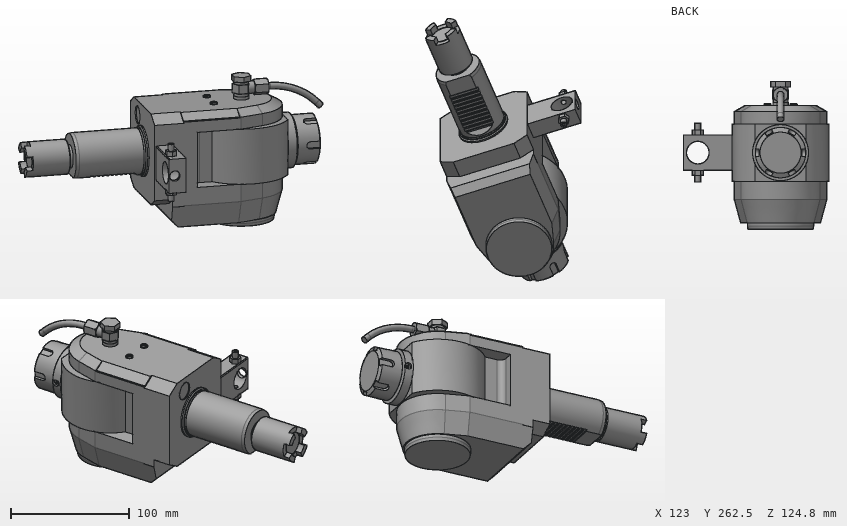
import cadquery as cq
import math


BODY_HALF_WIDTH = 39.0
BODY_TOP = 40.0
BODY_BOTTOM = -59.3
HEAD_Y = 86.5
NOSE_RADIUS = 34.7
NOSE_FLANK_ANGLE = 16.0
CROWN_HEIGHT = 5.3
CROWN_TAPER = 60.0
SKIRT_TOP = -39.5
SKIRT_TAPER = 15.0
SKIRT_BACK = 15.8
SKIRT_CHAMFER = 6.3
BEVEL_WIDTH = 11.8
BEVEL_LENGTH = 25.5
BEVEL_ANGLE = 30.0
RECESS_END = 74.5
RECESS_WIDTH = 9.7
LEDGE_WIDTH = 0.8
PLUG_X, PLUG_Z = -15.8, 27.3
PLUG_RADIUS = 7.5
PLUG_DEPTH = 1.0

DRUM_RADIUS = 41.0
DRUM_HALF_HEIGHT = 24.2
DRUM_FACE = 121.3
POCKET_BACK = 37.3
POCKET_WALL_X = 25.2
POCKET_FILLET = 5.5

COVER_RADIUS = 28.0
COVER_HEIGHT = 5.5
COVER_CHAMFER = 0.5

COLLAR_RADIUS = 21.8
COLLAR_LENGTH = 2.4
COLLAR_CHAMFER = 1.0
RELIEF_RADIUS = 19.7
RELIEF_END = 4.0
SHANK_RADIUS = 20.0
SHANK_LENGTH = 63.3
SHANK_TIP_RADIUS = 19.5
SHANK_TIP_LENGTH = 3.0
RACK_FLAT_Z = -16.3
RACK_START = 9.2
RACK_PITCH = 4.0
RACK_GROOVES = 10
RACK_GROOVE_WIDTH = 2.5
RACK_GROOVE_DEPTH = 1.0

NECK_RADIUS = 10.0
COUPLING_START = 66.7
COUPLING_RADIUS = 15.0
COUPLING_END = 99.5
COUPLING_CHAMFER = 0.8
CLAWS = 4
CLAW_END = 104.7
CLAW_GAP_HALF_ANGLE = 24.0
COUPLING_RECESS = 0.5

RING_RADIUS = 23.5
RING_END = 129.0
RING_SCREW_Y = 125.7
RING_SCREW_RADIUS = 3.0
RING_SCREW_DEPTH = 2.4
RING_SOCKET_RADIUS = 1.3
RING_SOCKET_DEPTH = 3.7
SPINDLE_NECK_RADIUS = 18.0
NUT_START = 130.5
NUT_END = 151.0
NUT_RADIUS = 21.3
NUT_FACE_RADIUS = 17.3
NUT_BEVEL_LENGTH = 1.5
NUT_SLOTS = 6
NUT_SLOT_WIDTH = 6.3
NUT_SLOT_END = 138.0
NUT_SLOT_DEPTH = 3.2

ARM_END = 82.0
ARM_HALF_HEIGHT = 15.0
ARM_FRONT, ARM_BACK = 1.0, 15.8
ARM_CHAMFER = 0.8
ARM_BORE_X = 69.8
ARM_BORE_RADIUS = 9.5
STUD_Y = 6.0
STUD_RADIUS = 2.5
STUD_END = 25.0
STUD_HOLE_RADIUS = 2.0
STUD_NUT_DIAMETER = 9.7
STUD_NUT_TOP = 19.2
STUD_SOCKET_DIAMETER = 2.5
END_HOLE_RADIUS = 4.5

CAP_X, CAP_Y = 11.0, 59.3
CAP_RADIUS = 3.2
CAP_HEIGHT = 1.5
CAP_CHAMFER = 0.8
CAP_SOCKET_DIAMETER = 3.2
SOCKET_DEPTH = 1.0

FITTING_RADIUS = 6.5
FITTING_GROOVE_Z = 42.5
FITTING_GROOVE_RADIUS = 6.3
FITTING_HEX_Z = 45.2
FITTING_HEX_DIAMETER = 15.8
FITTING_NECK_Z = 53.0
BOLT_HEX_Z = 55.5
BOLT_HEX_DIAMETER = 16.8
FITTING_TOP = 60.0
HOSE_Z = 48.8
ELBOW_RADIUS = 5.3
HOSE_NUT_START, HOSE_NUT_END = 97.1, 109.2
HOSE_NUT_DIAMETER = 14.0
HOSE_NUT_CHAMFER = 0.8
HOSE_RADIUS = 3.0
HOSE_REACH = 157.8
HOSE_BEND_RADIUS = 57.8
HOSE_BEND_ANGLE = 45.0
HOSE_TIP_LENGTH = 5.3


def box(x0, x1, y0, y1, z0, z1):
    return cq.Workplane("XY").box(x1 - x0, y1 - y0, z1 - z0, centered=False).translate((x0, y0, z0))


def upright(radius, z0, z1, x=0, y=0):
    return cq.Workplane("XY", origin=(x, y, z0)).circle(radius).extrude(z1 - z0)


def along_y(radius, y0, y1, x=0, z=0):
    return cq.Workplane("XZ", origin=(x, y0, z)).circle(radius).extrude(y0 - y1)


def hex_upright(diameter, z0, z1, x=0, y=0, turn=0):
    prism = cq.Workplane("XY").polygon(6, diameter).extrude(z1 - z0)
    return prism.rotate((0, 0, 0), (0, 0, 1), turn).translate((x, y, z0))


def both_sides(solid):
    return solid.union(solid.mirror("YZ"))


def body_outline(z):
    """Plan outline: straight sides, tapered flanks and a round nose tangent to them."""
    angle = math.radians(NOSE_FLANK_ANGLE)
    tangent_x = NOSE_RADIUS * math.cos(angle)
    tangent_y = HEAD_Y + NOSE_RADIUS * math.sin(angle)
    flank_start = tangent_y - (BODY_HALF_WIDTH - tangent_x) / math.tan(angle)
    overrun = -2 * BEVEL_WIDTH
    return (
        cq.Workplane("XY", origin=(0, 0, z))
        .moveTo(-BODY_HALF_WIDTH, overrun)
        .lineTo(BODY_HALF_WIDTH, overrun)
        .lineTo(BODY_HALF_WIDTH, flank_start)
        .lineTo(tangent_x, tangent_y)
        .threePointArc((0, HEAD_Y + NOSE_RADIUS), (-tangent_x, tangent_y))
        .lineTo(-BODY_HALF_WIDTH, flank_start)
        .close()
    )


def edge_bevel(y0, y1, side):
    """Corner wedge removed along a long edge; side is +1 at the top, -1 below."""
    height = BEVEL_WIDTH * math.tan(math.radians(BEVEL_ANGLE))
    wedge = (
        cq.Workplane("XZ", origin=(0, y0, 0))
        .moveTo(BODY_HALF_WIDTH, side * BODY_TOP)
        .lineTo(BODY_HALF_WIDTH - BEVEL_WIDTH, side * BODY_TOP)
        .lineTo(BODY_HALF_WIDTH, side * (BODY_TOP - height))
        .close()
        .extrude(y0 - y1)
    )
    return both_sides(wedge)


def recessed_bevel():
    """Long upper bevels, each ending in a narrow ledge at the side face."""
    inner_x = BODY_HALF_WIDTH - RECESS_WIDTH
    ledge_x = BODY_HALF_WIDTH - LEDGE_WIDTH
    bevel_z = BODY_TOP - (ledge_x - inner_x) * math.tan(math.radians(BEVEL_ANGLE))
    cutter = (
        cq.Workplane("XZ", origin=(0, BEVEL_LENGTH, 0))
        .moveTo(inner_x, BODY_TOP)
        .lineTo(ledge_x, bevel_z)
        .lineTo(ledge_x, bevel_z - LEDGE_WIDTH)
        .lineTo(BODY_HALF_WIDTH, bevel_z - LEDGE_WIDTH)
        .lineTo(BODY_HALF_WIDTH, BODY_TOP)
        .close()
        .extrude(BEVEL_LENGTH - RECESS_END)
    )
    return both_sides(cutter)


def make_housing():
    crown_z = BODY_TOP - CROWN_HEIGHT
    upper = body_outline(SKIRT_TOP).extrude(crown_z - SKIRT_TOP)
    crown = body_outline(crown_z).extrude(CROWN_HEIGHT, taper=CROWN_TAPER)
    skirt = body_outline(SKIRT_TOP).extrude(BODY_BOTTOM - SKIRT_TOP, taper=SKIRT_TAPER)
    skirt = skirt.intersect(
        box(-BODY_HALF_WIDTH, BODY_HALF_WIDTH, SKIRT_BACK, DRUM_FACE, BODY_BOTTOM, SKIRT_TOP)
        .edges("<Y and <Z").chamfer(SKIRT_CHAMFER)
    )
    block = box(-BODY_HALF_WIDTH, BODY_HALF_WIDTH, 0, BEVEL_LENGTH, -BODY_TOP, BODY_TOP)
    block = block.cut(edge_bevel(0, BEVEL_LENGTH, 1))
    block = block.cut(edge_bevel(0, SKIRT_BACK, -1))
    rear = upper.union(crown).union(skirt)
    rear = rear.intersect(
        box(-DRUM_RADIUS, DRUM_RADIUS, SKIRT_BACK, DRUM_FACE, BODY_BOTTOM, BODY_TOP)
    )
    rear = rear.cut(edge_bevel(SKIRT_BACK, BEVEL_LENGTH, 1))
    plug = along_y(PLUG_RADIUS, 0, PLUG_DEPTH, PLUG_X, PLUG_Z)
    return rear.union(block).cut(recessed_bevel()).cut(plug)


def make_pockets():
    pocket = box(POCKET_WALL_X, DRUM_RADIUS, POCKET_BACK, HEAD_Y, -DRUM_HALF_HEIGHT, DRUM_HALF_HEIGHT)
    return both_sides(pocket.edges("|Z and <X and <Y").fillet(POCKET_FILLET))


def make_drum():
    drum = upright(DRUM_RADIUS, -DRUM_HALF_HEIGHT, DRUM_HALF_HEIGHT, y=HEAD_Y)
    return drum.intersect(
        box(-DRUM_RADIUS, DRUM_RADIUS, POCKET_BACK, DRUM_FACE, -DRUM_HALF_HEIGHT, DRUM_HALF_HEIGHT)
    )


def make_cover():
    cover = upright(COVER_RADIUS, BODY_BOTTOM - COVER_HEIGHT, BODY_BOTTOM, y=HEAD_Y)
    return cover.faces("<Z").edges().chamfer(COVER_HEIGHT / 2, COVER_CHAMFER)


def make_shank():
    shank = along_y(SHANK_RADIUS, 0, -SHANK_LENGTH)
    shank = shank.faces("<Y").edges().chamfer(SHANK_TIP_LENGTH, SHANK_RADIUS - SHANK_TIP_RADIUS)
    flat = (
        cq.Workplane("YZ", origin=(-SHANK_RADIUS, 0, 0))
        .moveTo(-RACK_START, RACK_FLAT_Z)
        .lineTo(-SHANK_LENGTH, RACK_FLAT_Z)
        .lineTo(-SHANK_LENGTH, -COLLAR_RADIUS)
        .lineTo(COLLAR_RADIUS + RACK_FLAT_Z - RACK_START, -COLLAR_RADIUS)
        .close()
        .extrude(2 * SHANK_RADIUS)
    )
    relief = along_y(SHANK_RADIUS, 0, -RELIEF_END).cut(along_y(RELIEF_RADIUS, 0, -RELIEF_END))
    shank = shank.cut(flat).cut(relief)
    for i in range(RACK_GROOVES):
        start = -RACK_START - (i + 1) * RACK_PITCH + RACK_GROOVE_WIDTH
        shank = shank.cut(
            box(-SHANK_RADIUS, SHANK_RADIUS, start - RACK_GROOVE_WIDTH, start,
                RACK_FLAT_Z, RACK_FLAT_Z + RACK_GROOVE_DEPTH)
        )
    collar = along_y(COLLAR_RADIUS, 0, -COLLAR_LENGTH)
    return shank.union(collar.faces("<Y").edges().chamfer(COLLAR_CHAMFER))


def make_coupling():
    """Clutch end with four claws around a shallow central recess."""
    neck = along_y(NECK_RADIUS, -SHANK_LENGTH, -COUPLING_START)
    coupling = along_y(COUPLING_RADIUS, -COUPLING_START, -COUPLING_END)
    coupling = coupling.faces(">Y").edges().chamfer(COUPLING_CHAMFER)
    coupling = coupling.cut(along_y(NECK_RADIUS, COUPLING_RECESS - COUPLING_END, -COUPLING_END))
    claws = along_y(COUPLING_RADIUS, -COUPLING_END, -CLAW_END)
    claws = claws.cut(along_y(NECK_RADIUS, -COUPLING_END, -CLAW_END))
    reach = 2 * COUPLING_RADIUS
    half_gap = reach * math.tan(math.radians(CLAW_GAP_HALF_ANGLE))
    gap = (
        cq.Workplane("XZ", origin=(0, -COUPLING_END, 0))
        .polyline([(0, 0), (reach, half_gap), (reach, -half_gap)])
        .close()
        .extrude(CLAW_END - COUPLING_END)
    )
    for i in range(CLAWS):
        claws = claws.cut(gap.rotate((0, 0, 0), (0, 1, 0), i * 360 / CLAWS))
    return neck.union(coupling).union(claws)


def make_spindle():
    ring = along_y(RING_RADIUS, DRUM_FACE, RING_END)
    screw_recess = (
        cq.Workplane("YZ", origin=(-RING_RADIUS, RING_SCREW_Y, 0))
        .circle(RING_SCREW_RADIUS)
        .extrude(RING_SCREW_DEPTH)
        .faces("<X").workplane(origin=(-RING_RADIUS, RING_SCREW_Y, 0))
        .circle(RING_SOCKET_RADIUS)
        .extrude(-RING_SOCKET_DEPTH)
    )
    neck = along_y(SPINDLE_NECK_RADIUS, RING_END, NUT_START)
    nut = along_y(NUT_RADIUS, NUT_START, NUT_END)
    nut = nut.faces(">Y").edges().chamfer(NUT_BEVEL_LENGTH, NUT_RADIUS - NUT_FACE_RADIUS)
    half_slot = NUT_SLOT_WIDTH / 2
    slot = (
        cq.Workplane("YZ", origin=(NUT_RADIUS - NUT_SLOT_DEPTH, 0, 0))
        .moveTo(NUT_END, half_slot)
        .lineTo(NUT_SLOT_END + half_slot, half_slot)
        .threePointArc((NUT_SLOT_END, 0), (NUT_SLOT_END + half_slot, -half_slot))
        .lineTo(NUT_END, -half_slot)
        .close()
        .extrude(2 * NUT_SLOT_DEPTH)
    )
    for i in range(NUT_SLOTS):
        nut = nut.cut(slot.rotate((0, 0, 0), (0, 1, 0), i * 360 / NUT_SLOTS))
    return ring.cut(screw_recess).union(neck).union(nut)


def make_bracket():
    arm = box(POCKET_WALL_X, ARM_END, ARM_FRONT, ARM_BACK, -ARM_HALF_HEIGHT, ARM_HALF_HEIGHT)
    arm = arm.edges("<Y and >Z").chamfer(ARM_CHAMFER)
    arm = arm.cut(along_y(ARM_BORE_RADIUS, ARM_FRONT, ARM_BACK, ARM_BORE_X))
    nut = hex_upright(STUD_NUT_DIAMETER, ARM_HALF_HEIGHT, STUD_NUT_TOP, ARM_BORE_X, STUD_Y)
    stud = upright(STUD_RADIUS, ARM_HALF_HEIGHT, STUD_END, ARM_BORE_X, STUD_Y)
    socket = hex_upright(STUD_SOCKET_DIAMETER, STUD_END - SOCKET_DEPTH, STUD_END, ARM_BORE_X, STUD_Y)
    clamp = nut.union(stud).cut(socket)
    stud_hole = upright(STUD_HOLE_RADIUS, -ARM_HALF_HEIGHT, ARM_HALF_HEIGHT, ARM_BORE_X, STUD_Y)
    end_hole = (
        cq.Workplane("YZ", origin=(ARM_BORE_X, STUD_Y, 0))
        .circle(END_HOLE_RADIUS)
        .extrude(ARM_END - ARM_BORE_X)
    )
    return arm.cut(stud_hole).cut(end_hole).union(clamp).union(clamp.mirror("XY"))


def make_cap_screws():
    head = upright(CAP_RADIUS, BODY_TOP, BODY_TOP + CAP_HEIGHT, CAP_X, CAP_Y)
    head = head.faces(">Z").edges().chamfer(CAP_CHAMFER)
    head_top = BODY_TOP + CAP_HEIGHT
    socket = hex_upright(CAP_SOCKET_DIAMETER, head_top - SOCKET_DEPTH, head_top, CAP_X, CAP_Y)
    return both_sides(head.cut(socket))


def make_fitting():
    fitting = upright(FITTING_RADIUS, BODY_TOP, FITTING_GROOVE_Z, y=HEAD_Y)
    fitting = fitting.union(upright(FITTING_GROOVE_RADIUS, FITTING_GROOVE_Z, BOLT_HEX_Z, y=HEAD_Y))
    fitting = fitting.union(
        hex_upright(FITTING_HEX_DIAMETER, FITTING_HEX_Z, FITTING_NECK_Z, y=HEAD_Y, turn=30)
    )
    fitting = fitting.union(hex_upright(BOLT_HEX_DIAMETER, BOLT_HEX_Z, FITTING_TOP, y=HEAD_Y))
    elbow = along_y(ELBOW_RADIUS, HEAD_Y, HOSE_NUT_START, z=HOSE_Z)
    hose_nut = (
        cq.Workplane("XZ", origin=(0, HOSE_NUT_START, HOSE_Z))
        .polygon(6, HOSE_NUT_DIAMETER)
        .extrude(HOSE_NUT_START - HOSE_NUT_END)
        .rotate((0, 0, HOSE_Z), (0, 1, HOSE_Z), 90)
    )
    rounding = along_y(HOSE_NUT_DIAMETER / 2, HOSE_NUT_START, HOSE_NUT_END, z=HOSE_Z)
    hose_nut = hose_nut.intersect(rounding.edges("%CIRCLE").chamfer(HOSE_NUT_CHAMFER))
    return fitting.union(elbow).union(hose_nut)


def make_hose():
    """Round hose leaving the nut straight, bending down and ending in a short straight tip."""
    tip_angle = math.radians(HOSE_BEND_ANGLE)
    tip_y = HOSE_TIP_LENGTH * math.cos(tip_angle)
    tip_z = -HOSE_TIP_LENGTH * math.sin(tip_angle)
    tip_corner = HOSE_RADIUS * math.sin(tip_angle)
    bend_start = HOSE_REACH - tip_corner - tip_y - HOSE_BEND_RADIUS * math.sin(tip_angle)

    def bend_point(degrees):
        angle = math.radians(degrees)
        return (
            bend_start + HOSE_BEND_RADIUS * math.sin(angle),
            HOSE_Z - HOSE_BEND_RADIUS * (1 - math.cos(angle)),
        )

    end_y, end_z = bend_point(HOSE_BEND_ANGLE)
    path = (
        cq.Workplane("YZ")
        .moveTo(HOSE_NUT_END, HOSE_Z)
        .lineTo(bend_start, HOSE_Z)
        .threePointArc(bend_point(HOSE_BEND_ANGLE / 2), (end_y, end_z))
        .lineTo(end_y + tip_y, end_z + tip_z)
    )
    return cq.Workplane("XZ", origin=(0, HOSE_NUT_END, HOSE_Z)).circle(HOSE_RADIUS).sweep(path)


result = (
    make_housing()
    .cut(make_pockets())
    .union(make_drum())
    .union(make_cover())
    .union(make_shank())
    .union(make_coupling())
    .union(make_spindle())
    .union(make_bracket())
    .union(make_cap_screws())
    .union(make_fitting())
    .union(make_hose())
)